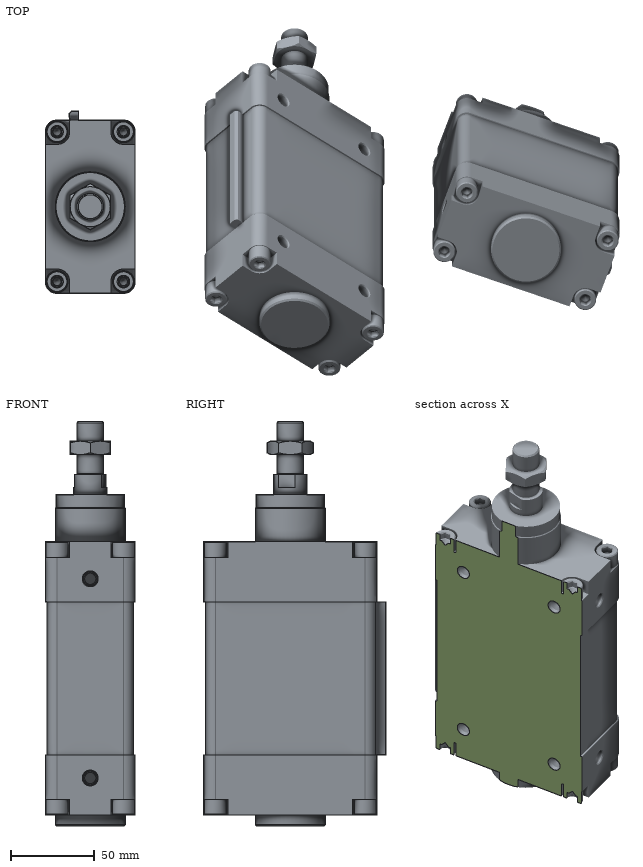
import cadquery as cq
import math


TOTAL_HEIGHT = 243.0
REAR_BOSS_HEIGHT = 6.5
CAP_HEIGHT = 36.2
BARREL_LENGTH = 91.9
COLLAR_HEIGHT = 28.2
COLLAR_TIP_HEIGHT = 7.8
NECK_HEIGHT = 12.2
NUT_TOP_GAP = 12.0

CAP_WIDTH = 54.0
CAP_DEPTH = 104.0
CAP_CORNER_RADIUS = 7.0
BARREL_INSET = 1.0
REAR_BOSS_DIAMETER = 42.0
REAR_BOSS_CHAMFER = 1.0
COLLAR_DIAMETER = 42.0
COLLAR_TIP_DIAMETER = 41.0

POCKET_DEPTH = 9.5
POCKET_DIAMETER = 15.0
HEAD_DIAMETER = 13.1
HEAD_RIM_DIAMETER = 12.0
SOCKET_MOUTH_DIAMETER = 7.5
SOCKET_ACROSS_FLATS = 6.0
SOCKET_DEPTH = 4.4
SOCKET_TIP_DIAMETER = 4.9

HOLE_BELOW_CAP_END = 22.4
HOLE_MOUTH_DIAMETER = 9.5
HOLE_DIAMETER = 8.3
MOUNTING_HOLE_OFFSET = 32.0
MOUNTING_HOLE_DEPTH = 9.7
PORT_DIAMETER = 6.8
PORT_STEP_DEPTH = 7.3
PORT_DEPTH = 11.0
DRILL_POINT_ANGLE = 118.0

RAIL_LEFT = -12.6
RAIL_WIDTH = 5.5
RAIL_PROJECTION = 5.3
RAIL_CHAMFER = 1.5
RAIL_UNDERCUT_DEPTH = 0.7
RAIL_SIDE_HEIGHT = 2.2

NECK_DIAMETER = 20.0
THREAD_DIAMETER = 16.0
THREAD_TIP_DIAMETER = 14.3
THREAD_ROOT_DIAMETER = 15.0
FLAT_ACROSS = 17.0
FLAT_LENGTH = 7.8
FLAT_ROTATION = -15.0
NUT_ACROSS_FLATS = 24.0
NUT_HEIGHT = 8.0
NUT_CHAMFER_ANGLE = 30.0

REAR_FACE_Z = REAR_BOSS_HEIGHT
BARREL_BOTTOM_Z = REAR_FACE_Z + CAP_HEIGHT
BARREL_TOP_Z = BARREL_BOTTOM_Z + BARREL_LENGTH
FRONT_FACE_Z = BARREL_TOP_Z + CAP_HEIGHT
COLLAR_TOP_Z = FRONT_FACE_Z + COLLAR_HEIGHT
NECK_TOP_Z = COLLAR_TOP_Z + NECK_HEIGHT
NUT_BOTTOM_Z = TOTAL_HEIGHT - NUT_TOP_GAP - NUT_HEIGHT
SCREW_X = CAP_WIDTH / 2 - CAP_CORNER_RADIUS
SCREW_Y = CAP_DEPTH / 2 - CAP_CORNER_RADIUS
HOLE_HEIGHTS = (REAR_FACE_Z + HOLE_BELOW_CAP_END, FRONT_FACE_Z - HOLE_BELOW_CAP_END)


def disc(diameter, height, base_z=0):
    """Upright cylinder on the Z axis."""
    return cq.Workplane("XY").workplane(offset=base_z).circle(diameter / 2).extrude(height)


def revolved(profile):
    """Solid of revolution about Z from (radius, z) points."""
    return cq.Workplane("XZ").polyline(profile).close().revolve(360, (0, 0), (0, 1))


def hexagon(across_flats, height, base_z=0):
    """Hexagonal prism with two corners on the Y axis."""
    corner_diameter = across_flats / math.cos(math.radians(30))
    prism = cq.Workplane("XY").polygon(6, corner_diameter).extrude(height)
    return prism.rotate((0, 0, 0), (0, 0, 1), 30).translate((0, 0, base_z))


def rounded_block(width, depth, corner_radius, height, base_z):
    """Block centred on the rod axis with rounded upright edges."""
    block = cq.Workplane("XY").workplane(offset=base_z).rect(width, depth).extrude(height)
    return block.edges("|Z").fillet(corner_radius)


def screw_pocket():
    """Corner cutout open towards +X and +Y, with the screw axis on Z and the mouth at Z = 0."""
    reach = 2 * CAP_CORNER_RADIUS
    radius = POCKET_DIAMETER / 2
    outline = (
        cq.Workplane("XY").workplane(offset=-POCKET_DEPTH)
        .moveTo(-radius, 0)
        .lineTo(-radius, reach)
        .lineTo(reach, reach)
        .lineTo(reach, -radius)
        .lineTo(0, -radius)
        .radiusArc((-radius, 0), radius)
    )
    return outline.close().extrude(POCKET_DEPTH)


def screw_head():
    """Socket-head screw head standing in its pocket, top face at Z = 0."""
    rim_chamfer = (HEAD_DIAMETER - HEAD_RIM_DIAMETER) / 2
    head = disc(HEAD_DIAMETER, POCKET_DEPTH, -POCKET_DEPTH).faces(">Z").chamfer(rim_chamfer)
    mouth_radius = SOCKET_MOUTH_DIAMETER / 2
    tip_radius = SOCKET_TIP_DIAMETER / 2
    mouth_cone = revolved([(0, 0), (mouth_radius, 0), (0, -mouth_radius)])
    tip_cone = revolved([(0, -SOCKET_DEPTH), (tip_radius, -SOCKET_DEPTH), (0, -SOCKET_DEPTH - tip_radius)])
    socket = hexagon(SOCKET_ACROSS_FLATS, SOCKET_DEPTH, -SOCKET_DEPTH)
    return head.cut(mouth_cone).cut(socket).cut(tip_cone)


def at_screw_corners(shape):
    """Copies of a corner shape at all four corners of both cap end faces."""
    copies = []
    for mirror_x in (False, True):
        for mirror_y in (False, True):
            corner = shape.translate((SCREW_X, SCREW_Y, 0))
            if mirror_x:
                corner = corner.mirror("YZ")
            if mirror_y:
                corner = corner.mirror("XZ")
            copies.append(corner.translate((0, 0, FRONT_FACE_Z)))
            copies.append(corner.mirror("XY").translate((0, 0, REAR_FACE_Z)))
    return copies


def mounting_hole():
    """Drilled hole going down from Z = 0, with a chamfered mouth and a conical end."""
    radius = HOLE_DIAMETER / 2
    mouth_radius = HOLE_MOUTH_DIAMETER / 2
    mouth_depth = mouth_radius - radius
    point_depth = radius / math.tan(math.radians(DRILL_POINT_ANGLE / 2))
    return revolved([
        (0, 0),
        (mouth_radius, 0),
        (radius, -mouth_depth),
        (radius, -MOUNTING_HOLE_DEPTH),
        (0, -MOUNTING_HOLE_DEPTH - point_depth),
    ])


def air_port():
    """Stepped flat-bottomed port going down from Z = 0, with a chamfered mouth."""
    radius = HOLE_DIAMETER / 2
    mouth_radius = HOLE_MOUTH_DIAMETER / 2
    return revolved([
        (0, 0),
        (mouth_radius, 0),
        (radius, radius - mouth_radius),
        (radius, -PORT_STEP_DEPTH),
        (PORT_DIAMETER / 2, -PORT_STEP_DEPTH),
        (PORT_DIAMETER / 2, -PORT_DEPTH),
        (0, -PORT_DEPTH),
    ])


def sensor_rail():
    """Rail along the barrel, chamfered at its outer left edge and undercut at its left foot."""
    outer_y = CAP_DEPTH / 2 + RAIL_PROJECTION
    foot_y = CAP_DEPTH / 2 - BARREL_INSET
    right = RAIL_LEFT + RAIL_WIDTH
    side_top_y = outer_y - RAIL_CHAMFER
    outline = [
        (right, foot_y),
        (right, outer_y),
        (RAIL_LEFT + RAIL_CHAMFER, outer_y),
        (RAIL_LEFT, side_top_y),
        (RAIL_LEFT, side_top_y - RAIL_SIDE_HEIGHT),
        (RAIL_LEFT + RAIL_UNDERCUT_DEPTH, foot_y),
    ]
    return cq.Workplane("XY").workplane(offset=BARREL_BOTTOM_Z).polyline(outline).close().extrude(BARREL_LENGTH)


def make_housing():
    """Caps, barrel, rear boss, rod collar, rail and corner screws as one solid."""
    barrel = rounded_block(
        CAP_WIDTH - 2 * BARREL_INSET,
        CAP_DEPTH - 2 * BARREL_INSET,
        CAP_CORNER_RADIUS - BARREL_INSET,
        BARREL_LENGTH,
        BARREL_BOTTOM_Z,
    )
    body = barrel.union(sensor_rail())
    for cap_base_z in (REAR_FACE_Z, BARREL_TOP_Z):
        body = body.union(rounded_block(CAP_WIDTH, CAP_DEPTH, CAP_CORNER_RADIUS, CAP_HEIGHT, cap_base_z))

    boss = disc(REAR_BOSS_DIAMETER, REAR_BOSS_HEIGHT).faces("<Z").chamfer(REAR_BOSS_CHAMFER)
    collar_base_height = COLLAR_HEIGHT - COLLAR_TIP_HEIGHT
    collar_chamfer = (COLLAR_DIAMETER - COLLAR_TIP_DIAMETER) / 2
    collar_base = disc(COLLAR_DIAMETER, collar_base_height, FRONT_FACE_Z).faces(">Z").chamfer(collar_chamfer)
    collar_tip = disc(COLLAR_TIP_DIAMETER, COLLAR_TIP_HEIGHT, FRONT_FACE_Z + collar_base_height)
    body = body.union(boss).union(collar_base).union(collar_tip)

    for pocket in at_screw_corners(screw_pocket()):
        body = body.cut(pocket)
    for head in at_screw_corners(screw_head()):
        body = body.union(head)

    hole_on_side = mounting_hole().rotate((0, 0, 0), (0, 1, 0), -90)
    port_on_front = air_port().rotate((0, 0, 0), (1, 0, 0), 90)
    for z in HOLE_HEIGHTS:
        body = body.cut(port_on_front.translate((0, -CAP_DEPTH / 2, z)))
        for y in (-MOUNTING_HOLE_OFFSET, MOUNTING_HOLE_OFFSET):
            body = body.cut(hole_on_side.translate((-CAP_WIDTH / 2, y, z)))
    return body


def make_rod():
    """Piston rod end: neck with two wrench flats below a threaded stud."""
    neck = disc(NECK_DIAMETER, NECK_HEIGHT, COLLAR_TOP_Z)
    flat_zone = disc(2 * NECK_DIAMETER, FLAT_LENGTH, NECK_TOP_Z - FLAT_LENGTH)
    kept_width = (
        cq.Workplane("XY").workplane(offset=NECK_TOP_Z - FLAT_LENGTH)
        .rect(FLAT_ACROSS, 2 * NECK_DIAMETER)
        .extrude(FLAT_LENGTH)
        .rotate((0, 0, 0), (0, 0, 1), FLAT_ROTATION)
    )
    neck = neck.cut(flat_zone.cut(kept_width))

    stud = disc(THREAD_DIAMETER, TOTAL_HEIGHT - NECK_TOP_Z, NECK_TOP_Z)
    stud = stud.faces(">Z").chamfer((THREAD_DIAMETER - THREAD_TIP_DIAMETER) / 2)
    stud = stud.faces("<Z").chamfer((THREAD_DIAMETER - THREAD_ROOT_DIAMETER) / 2)
    return neck.union(stud)


def make_nut():
    """Hexagonal lock nut around the stud, corners chamfered on both faces."""
    face_radius = NUT_ACROSS_FLATS / 2
    corner_radius = face_radius / math.cos(math.radians(30))
    corner_drop = (corner_radius - face_radius) * math.tan(math.radians(NUT_CHAMFER_ANGLE))
    envelope = revolved([
        (0, 0),
        (face_radius, 0),
        (corner_radius, corner_drop),
        (corner_radius, NUT_HEIGHT - corner_drop),
        (face_radius, NUT_HEIGHT),
        (0, NUT_HEIGHT),
    ])
    nut = hexagon(NUT_ACROSS_FLATS, NUT_HEIGHT).intersect(envelope)
    return nut.cut(disc(THREAD_DIAMETER, NUT_HEIGHT)).translate((0, 0, NUT_BOTTOM_Z))


housing = make_housing()
rod = make_rod()
nut = make_nut()

result = cq.Compound.makeCompound([housing.val(), rod.val(), nut.val()])